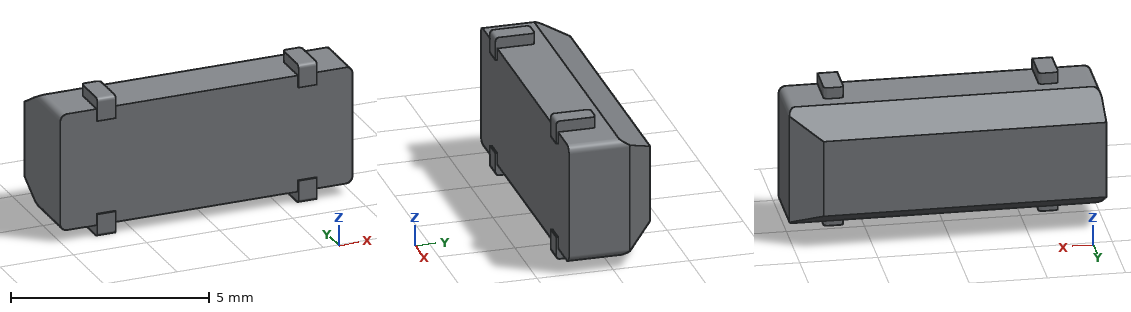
import cadquery as cq
import math

length = 8.0
body_height = 3.2
overall_depth = 2.4
standoff = 0.05
body_depth = overall_depth - standoff
corner_radius = 0.19

straight_depth = 1.36
taper_angle = 30.0
end_bevel = 0.75

overall_height = 3.8
terminal_width = 0.5
terminal_spacing = 5.5
terminal_depth = 1.04
foot_length = 0.62
terminal_radius = 0.1

front_y = -overall_depth / 2
body_front_y = front_y + standoff
back_y = overall_depth / 2


def make_body():
    """Rounded block with tapered long sides and one bevelled back corner."""
    block = (
        cq.Workplane("XY")
        .box(length, body_depth, body_height)
        .translate((0, body_front_y + body_depth / 2, 0))
        .edges("|Y")
        .fillet(corner_radius)
    )
    shoulder_y = body_front_y + straight_depth
    half_height = body_height / 2
    inset = (back_y - shoulder_y) * math.tan(math.radians(taper_angle))
    back_half_height = half_height - inset
    end_profile = (
        cq.Workplane("YZ")
        .polyline([
            (body_front_y, -half_height),
            (shoulder_y, -half_height),
            (back_y, -back_half_height),
            (back_y, back_half_height),
            (shoulder_y, half_height),
            (body_front_y, half_height),
        ])
        .close()
        .extrude(length / 2, both=True)
    )
    bevel_cutter = (
        cq.Workplane("XY")
        .polyline([
            (length / 2 - end_bevel, back_y),
            (length / 2, back_y),
            (length / 2, back_y - end_bevel),
        ])
        .close()
        .extrude(body_height, both=True)
    )
    return block.intersect(end_profile).cut(bevel_cutter)


def make_terminal(x, side):
    """Rounded terminal block on the upper (side=1) or lower (side=-1) face."""
    terminal = (
        cq.Workplane("XY")
        .box(terminal_width, terminal_depth, foot_length)
        .edges("|Z and >Y")
        .fillet(terminal_radius)
        .edges("|X and <Y and >Z")
        .fillet(terminal_radius)
    )
    if side < 0:
        terminal = terminal.mirror("XY")
    center_y = front_y + terminal_depth / 2
    center_z = side * (overall_height - foot_length) / 2
    return terminal.translate((x, center_y, center_z))


result = make_body()
for terminal_x in (-terminal_spacing / 2, terminal_spacing / 2):
    for terminal_side in (-1, 1):
        result = result.union(make_terminal(terminal_x, terminal_side))